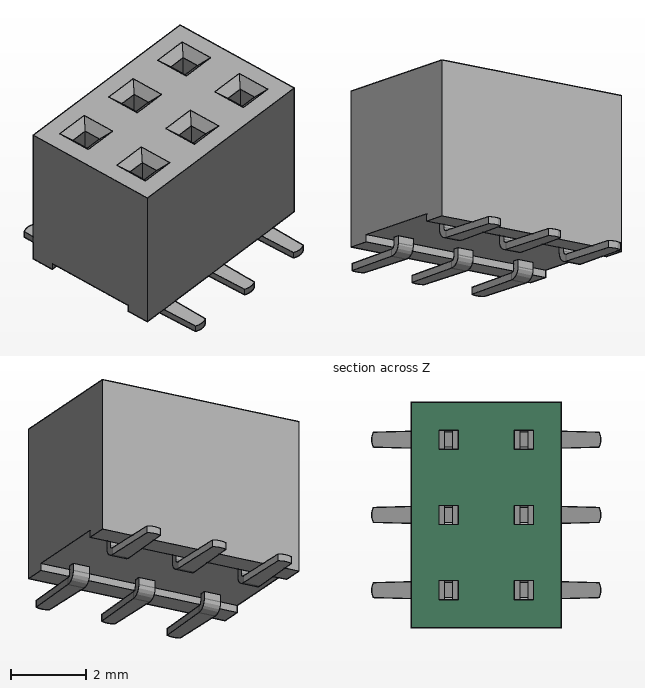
import cadquery as cq

pitch = 2.0
rows = 3
columns = 2
body_length = rows * pitch
body_width = columns * pitch
total_height = 4.6
body_bottom = 0.3

channel_width = 2.66
channel_depth = 0.2

mouth_size = 1.0
hole_size = 0.5
funnel_depth = 0.25
hole_depth = 3.0

slot_width = 0.21
slot_depth = 0.05
slot_floor_length = hole_size - 2 * slot_depth

lead_thickness = 0.195
lead_width = 0.5
tip_width = 0.4
inner_bend_radius = 0.105
outer_bend_radius = inner_bend_radius + lead_thickness
lead_reach = 3.05
tip_bulge = 0.05

channel_top = body_bottom + channel_depth
hole_floor = total_height - hole_depth
lead_inner_face = (pitch - lead_thickness) / 2
bend_end = lead_inner_face + outer_bend_radius


def make_body():
    """Rectangular housing with a channel running along Y underneath."""
    body = cq.Workplane("XY").workplane(offset=body_bottom).box(
        body_width, body_length, total_height - body_bottom, centered=(True, True, False)
    )
    channel = cq.Workplane("XY").workplane(offset=body_bottom).box(
        channel_width, body_length, channel_depth, centered=(True, True, False)
    )
    return body.cut(channel)


def make_socket():
    """Void of one socket, centred on the Z axis, with a slot in the floor of its hole."""
    funnel = (
        cq.Workplane("XY")
        .workplane(offset=total_height)
        .rect(mouth_size, mouth_size)
        .workplane(offset=-funnel_depth)
        .rect(hole_size, hole_size)
        .loft()
    )
    hole = cq.Workplane("XY").workplane(offset=hole_floor).box(
        hole_size, hole_size, hole_depth - funnel_depth, centered=(True, True, False)
    )
    slot = (
        cq.Workplane("YZ")
        .moveTo(-hole_size / 2, hole_floor)
        .lineTo(-slot_floor_length / 2, hole_floor - slot_depth)
        .lineTo(slot_floor_length / 2, hole_floor - slot_depth)
        .lineTo(hole_size / 2, hole_floor)
        .close()
        .extrude(slot_width / 2, both=True)
    )
    return funnel.union(hole).union(slot)


def make_lead():
    """Lead on the +X side: a vertical stem, a rounded bend and a tapered foot with a bowed tip."""
    stem_and_bend = (
        cq.Workplane("XZ")
        .moveTo(lead_inner_face, channel_top)
        .lineTo(lead_inner_face, outer_bend_radius)
        .radiusArc((bend_end, 0), -outer_bend_radius)
        .lineTo(bend_end, lead_thickness)
        .radiusArc((lead_inner_face + lead_thickness, outer_bend_radius), inner_bend_radius)
        .lineTo(lead_inner_face + lead_thickness, channel_top)
        .close()
        .extrude(lead_width / 2, both=True)
    )
    tip_start = lead_reach - tip_bulge
    foot = (
        cq.Workplane("XY")
        .moveTo(bend_end, -lead_width / 2)
        .lineTo(tip_start, -tip_width / 2)
        .threePointArc((lead_reach, 0), (tip_start, tip_width / 2))
        .lineTo(bend_end, lead_width / 2)
        .close()
        .extrude(lead_thickness)
    )
    return stem_and_bend.union(foot)


socket = make_socket()
right_lead = make_lead()
left_lead = right_lead.mirror("YZ")

result = make_body()
for row in range(rows):
    y = (row - (rows - 1) / 2) * pitch
    for column in range(columns):
        x = (column - (columns - 1) / 2) * pitch
        result = result.cut(socket.translate((x, y, 0)))
    for lead in (left_lead, right_lead):
        result = result.union(lead.translate((0, y, 0)))